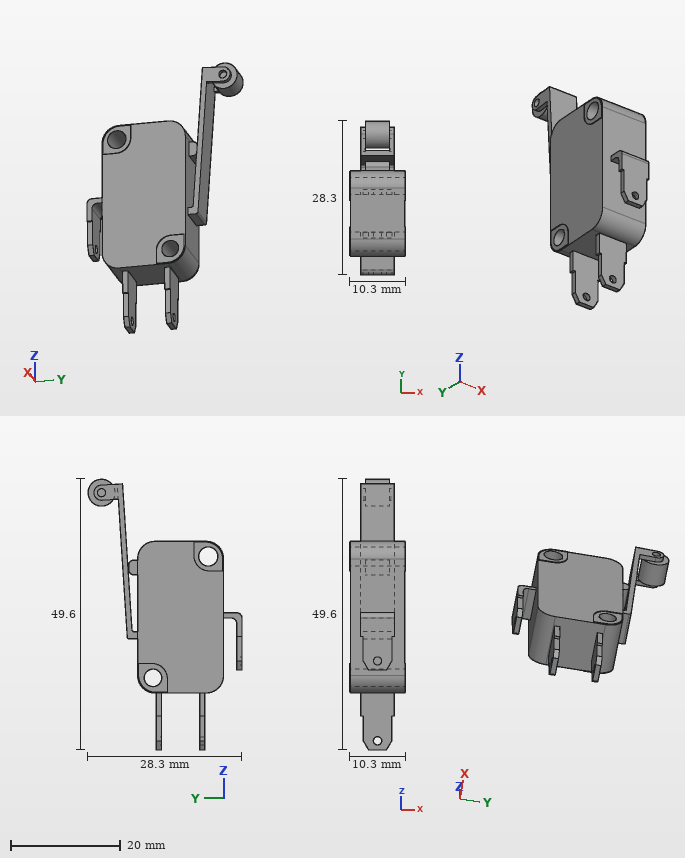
import cadquery as cq
import math


total_height = 49.65
total_width = 10.3

housing_depth = 15.8
housing_height = 27.85
housing_bottom = 10.45
housing_corner_radius = 3.25
housing_mid_z = housing_bottom + housing_height / 2
housing_back = housing_depth / 2

pad_thickness = 0.15
pad_size = 5.25
housing_width = total_width - 2 * pad_thickness
pad_inner_radius = 2.8
pad_outer_radius = housing_corner_radius - pad_thickness
hole_offset_y = 5.05
hole_offset_z = 11.1
upper_hole_diameter = 3.5
lower_hole_diameter = 3.2

strip_width = 6.2

terminal_thickness = 1.0
tab_width = 5.25
tab_tip_width = 3.3
tab_chamfer_height = 1.7
tab_hole_height = 1.7
tab_hole_diameter = 1.5
shoulder_height = 6.2
lower_terminal_offset = 3.95
side_terminal_top = 25.15
side_terminal_tip = 14.65
side_terminal_reach = 3.4
side_terminal_bend_radius = 1.0

roller_width = 4.4
roller_radius = 2.5
plunger_height = 2.75
plunger_reach = 1.65
plunger_edge_radius = 1.0
plunger_z = 33.45

lever_tilt = math.radians(3.7)
lever_thickness = 1.0
lever_foot_bottom = 20.35
lever_foot_thickness = 1.35
lever_bend_radius = 0.4
pivot_y = 14.5
pivot_z = total_height - roller_radius
pivot_to_lever_face = 3.95
pivot_hole_diameter = 1.5
cheek_half_height = 1.4
cheek_thickness = (strip_width - roller_width) / 2


def extrude_across(sketch, width):
    """Extrude a YZ outline evenly to both sides of the mid-plane."""
    return sketch.extrude(width).translate((-width / 2, 0, 0))


def make_housing():
    block = cq.Workplane("XY").box(housing_width, housing_depth, housing_height)
    return block.edges("|X").fillet(housing_corner_radius).translate((0, 0, housing_mid_z))


def make_pads(side):
    """Pads around one hole; side is -1 for the upper -Y corner, +1 for the lower +Y corner."""
    center_y = side * hole_offset_y
    center_z = housing_mid_z - side * hole_offset_z
    pads = cq.Workplane("XY").box(total_width, pad_size, pad_size)
    toward_corner = cq.selectors.NearestToPointSelector((0, side * pad_size, -side * pad_size))
    toward_middle = cq.selectors.NearestToPointSelector((0, -side * pad_size, side * pad_size))
    pads = pads.edges("|X").edges(toward_corner).fillet(pad_outer_radius)
    pads = pads.edges("|X").edges(toward_middle).fillet(pad_inner_radius)
    return pads.translate((0, center_y, center_z))


def make_mounting_hole(side, diameter):
    center_y = side * hole_offset_y
    center_z = housing_mid_z - side * hole_offset_z
    sketch = cq.Workplane("YZ").center(center_y, center_z).circle(diameter / 2)
    return extrude_across(sketch, total_width)


def make_tab(height, center_y, tip_z):
    """Flat terminal tab with shoulders, a pointed tip and a hole, standing in the XZ plane."""
    right_side = [
        (tab_tip_width / 2, 0),
        (tab_width / 2, tab_chamfer_height),
        (tab_width / 2, shoulder_height),
        (strip_width / 2, shoulder_height),
        (strip_width / 2, height),
    ]
    left_side = [(-x, z) for x, z in reversed(right_side)]
    tab = cq.Workplane("XZ").polyline(right_side + left_side).close()
    tab = tab.extrude(terminal_thickness / 2, both=True)
    hole = cq.Workplane("XZ").center(0, tab_hole_height).circle(tab_hole_diameter / 2)
    tab = tab.cut(hole.extrude(terminal_thickness, both=True))
    return tab.translate((0, center_y, tip_z))


def make_side_terminal():
    """Terminal that leaves the -Y face and bends down."""
    outer_y = -housing_back - side_terminal_reach
    inner_y = outer_y + terminal_thickness
    underside_z = side_terminal_top - terminal_thickness
    tab_top = underside_z - side_terminal_bend_radius
    bend = (
        cq.Workplane("YZ")
        .moveTo(-housing_back, side_terminal_top)
        .lineTo(outer_y + side_terminal_bend_radius, side_terminal_top)
        .radiusArc((outer_y, side_terminal_top - side_terminal_bend_radius), -side_terminal_bend_radius)
        .lineTo(outer_y, tab_top)
        .lineTo(inner_y, tab_top)
        .radiusArc((inner_y + side_terminal_bend_radius, underside_z), side_terminal_bend_radius)
        .lineTo(-housing_back, underside_z)
        .close()
    )
    tab_center_y = (outer_y + inner_y) / 2
    tab = make_tab(tab_top - side_terminal_tip, tab_center_y, side_terminal_tip)
    return extrude_across(bend, strip_width).union(tab)


def make_plunger():
    block = cq.Workplane("XY").box(roller_width, 2 * plunger_reach, plunger_height)
    block = block.edges("|X and >Y").fillet(plunger_edge_radius)
    return block.translate((0, housing_back, plunger_z))


def lever_point(toward_housing, along_lever):
    """YZ point given by its distances from the roller pivot, square to and along the tilted lever."""
    y = pivot_y - toward_housing * math.cos(lever_tilt) + along_lever * math.sin(lever_tilt)
    z = pivot_z + toward_housing * math.sin(lever_tilt) + along_lever * math.cos(lever_tilt)
    return (y, z)


def lever_point_at_height(toward_housing, z):
    """Point of a line parallel to the lever, at a given height."""
    rise = z - pivot_z - toward_housing * math.sin(lever_tilt)
    return lever_point(toward_housing, rise / math.cos(lever_tilt))


def make_lever_plate():
    """Tilted plate with its foot turned into the +Y face of the housing."""
    near_face = pivot_to_lever_face
    far_face = near_face - lever_thickness
    foot_top = lever_foot_bottom + lever_foot_thickness
    inner_bend = lever_point_at_height(near_face, foot_top)
    outer_bend = lever_point_at_height(far_face, lever_foot_bottom)
    outline = [
        lever_point(near_face, cheek_half_height),
        inner_bend,
        (housing_back, foot_top),
        (housing_back, lever_foot_bottom),
        outer_bend,
        lever_point(far_face, cheek_half_height),
    ]
    plate = extrude_across(cq.Workplane("YZ").polyline(outline).close(), strip_width)
    for bend in (inner_bend, outer_bend):
        bend_edge = cq.selectors.NearestToPointSelector((0, bend[0], bend[1]))
        plate = plate.edges("|X").edges(bend_edge).fillet(lever_bend_radius)
    return plate


def make_cheeks():
    """Pair of round-ended cheeks that hold the roller, each with a pivot hole."""
    cheeks = (
        cq.Workplane("YZ")
        .moveTo(*lever_point(pivot_to_lever_face, cheek_half_height))
        .lineTo(*lever_point(0, cheek_half_height))
        .threePointArc(lever_point(-cheek_half_height, 0), lever_point(0, -cheek_half_height))
        .lineTo(*lever_point(pivot_to_lever_face, -cheek_half_height))
        .close()
    )
    cheeks = extrude_across(cheeks, strip_width)
    holes = cq.Workplane("YZ").center(pivot_y, pivot_z).circle(pivot_hole_diameter / 2)
    gap_depth = 2 * (pivot_to_lever_face - lever_thickness)
    gap = cq.Workplane("XY").box(strip_width - 2 * cheek_thickness, gap_depth, 4 * cheek_half_height)
    gap = gap.rotate((0, 0, 0), (1, 0, 0), -math.degrees(lever_tilt)).translate((0, pivot_y, pivot_z))
    return cheeks.cut(extrude_across(holes, strip_width)).cut(gap)


def make_roller():
    sketch = cq.Workplane("YZ").center(pivot_y, pivot_z).circle(roller_radius)
    return extrude_across(sketch, roller_width)


result = make_housing()
for pad_side in (-1, 1):
    result = result.union(make_pads(pad_side))
result = result.cut(make_mounting_hole(-1, upper_hole_diameter))
result = result.cut(make_mounting_hole(1, lower_hole_diameter))

for terminal_y in (-lower_terminal_offset, lower_terminal_offset):
    result = result.union(make_tab(housing_bottom, terminal_y, 0))
result = result.union(make_side_terminal())

result = result.union(make_plunger())
result = result.union(make_lever_plate())
result = result.union(make_cheeks())
result = result.union(make_roller())